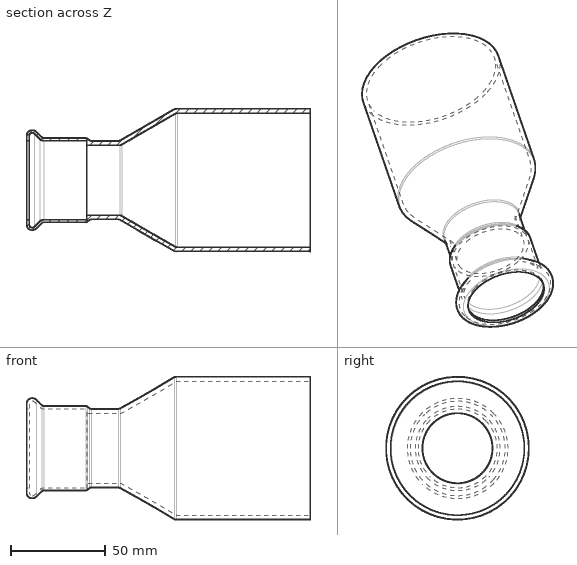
import cadquery as cq
import math

total_length = 151.0

socket_radius = 45.0 / 2
socket_wall = 1.5
socket_bore_radius = socket_radius - socket_wall
bead_radius = 53.5 / 2
bead_round = 3.0
bead_slope = 45.0
bead_foot_round = 1.8

step_start = 32.0
step_slope = 40.0
step_top_round = 1.4
step_foot_round = 2.0

neck_radius = 42.0 / 2
spigot_radius = 76.1 / 2
pipe_wall = 2.4
cone_start = 49.4
cone_slope = 30.0
cone_round = 2.1


def half_tan(angle):
    """Tangent of half an angle given in degrees."""
    return math.tan(math.radians(angle) / 2)


def run(rise, slope):
    """Axial length over which a slope in degrees climbs a rise."""
    return rise / math.tan(math.radians(slope))


def toward(start, end, distance):
    """Point at a distance from start on the way to end."""
    ratio = distance / math.dist(start, end)
    return (start[0] + (end[0] - start[0]) * ratio, start[1] + (end[1] - start[1]) * ratio)


def rounded_profile(corners):
    """Closed XY profile from (x, radius, rounding) corners; the first corner is sharp."""
    profile = cq.Workplane("XY").moveTo(*corners[0][:2])
    for index in range(1, len(corners)):
        before = corners[index - 1][:2]
        corner = corners[index][:2]
        rounding = corners[index][2]
        after = corners[(index + 1) % len(corners)][:2]
        if rounding == 0:
            profile = profile.lineTo(*corner)
            continue
        way_in = math.atan2(corner[1] - before[1], corner[0] - before[0])
        way_out = math.atan2(after[1] - corner[1], after[0] - corner[0])
        turn = abs(math.remainder(way_out - way_in, 2 * math.pi))
        setback = rounding * math.tan(turn / 2)
        arc_start = toward(corner, before, setback)
        arc_end = toward(corner, after, setback)
        chord_middle = ((arc_start[0] + arc_end[0]) / 2, (arc_start[1] + arc_end[1]) / 2)
        corner_to_arc = rounding * (1 / math.cos(turn / 2) - 1)
        arc_middle = toward(corner, chord_middle, corner_to_arc)
        profile = profile.lineTo(*arc_start)
        profile = profile.threePointArc(arc_middle, arc_end)
    return profile.close()


bead_back = bead_round * (1 + half_tan(bead_slope))
bead_tan = math.tan(math.radians(bead_slope))
bead_apex = bead_radius + bead_back * bead_tan
bead_foot = bead_back + run(bead_radius - socket_radius, bead_slope)
step_end = step_start + run(socket_radius - neck_radius, step_slope)
cone_end = cone_start + run(spigot_radius - neck_radius, cone_slope)

outer_corners = [
    (0, bead_apex, bead_round),
    (bead_foot, socket_radius, bead_foot_round),
    (step_start, socket_radius, step_top_round),
    (step_end, neck_radius, step_foot_round),
    (cone_start, neck_radius, cone_round),
    (cone_end, spigot_radius, cone_round),
    (total_length, spigot_radius, 0),
]

cone_shift = pipe_wall * half_tan(cone_slope)
bead_shift = socket_wall * half_tan(bead_slope)
bead_inner_round = bead_round - socket_wall
bead_inner_radius = bead_radius - socket_wall
bead_inner_apex = bead_inner_radius + bead_inner_round * (1 + half_tan(bead_slope)) * bead_tan
inner_corners = [
    (total_length, spigot_radius - pipe_wall, 0),
    (cone_end + cone_shift, spigot_radius - pipe_wall, cone_round),
    (cone_start + cone_shift, neck_radius - pipe_wall, cone_round),
    (step_start, neck_radius - pipe_wall, 0),
    (step_start, socket_bore_radius, 0),
    (bead_foot - bead_shift, socket_bore_radius, bead_foot_round + socket_wall),
    (socket_wall, bead_inner_apex, bead_inner_round),
    (socket_wall, socket_bore_radius, 0),
]
mouth_edge = (0, socket_bore_radius, 0)

wall_profile = rounded_profile([mouth_edge] + outer_corners + inner_corners)
result = wall_profile.revolve(360, (0, 0, 0), (1, 0, 0))